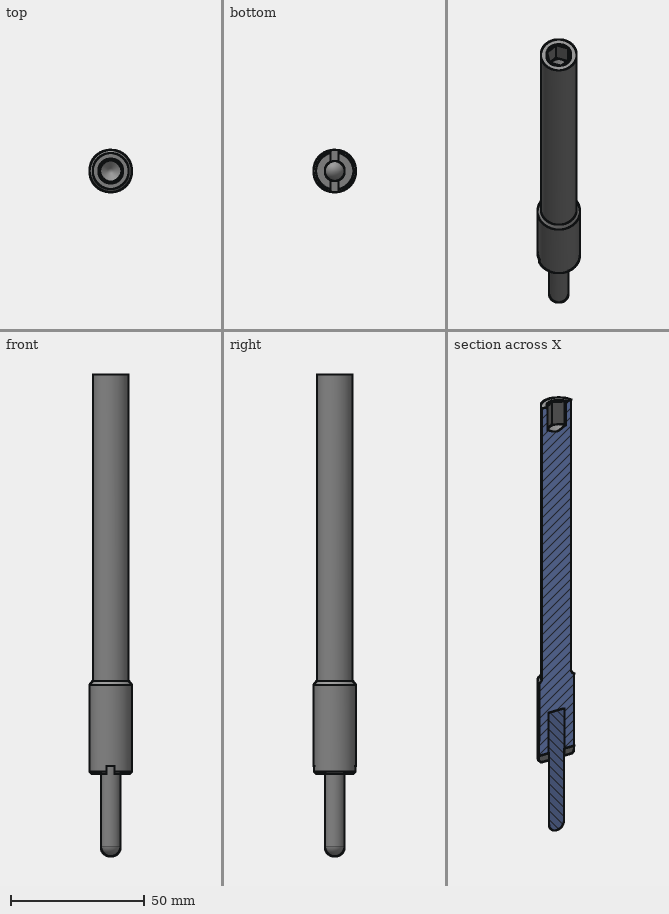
import cadquery as cq
import math

pin_exposed_length = 31.0
collar_length = 35.0
shank_length = 115.0
collar_bottom_z = pin_exposed_length
shank_bottom_z = collar_bottom_z + collar_length
handle_top_z = shank_bottom_z + shank_length

collar_radius = 8.0
shank_radius = 6.75
collar_top_chamfer_height = 1.5
collar_bottom_chamfer = 1.0

socket_across_flats = 8.0
socket_depth = 10.0
socket_corner_radius = socket_across_flats / math.sqrt(3)
mouth_radius = 4.65
mouth_depth = 0.5
drill_radius = socket_across_flats / 2
drill_point_angle = 118.0

slot_width = 3.0
slot_depth = 3.0

pin_radius = 3.75
pin_seat_depth = 20.0


def make_handle_body():
    """Revolved outline of the shank and its chamfered collar."""
    outline = (
        cq.Workplane("XZ")
        .moveTo(0, collar_bottom_z)
        .lineTo(collar_radius - collar_bottom_chamfer, collar_bottom_z)
        .lineTo(collar_radius, collar_bottom_z + collar_bottom_chamfer)
        .lineTo(collar_radius, shank_bottom_z - collar_top_chamfer_height)
        .lineTo(shank_radius, shank_bottom_z)
        .lineTo(shank_radius, handle_top_z)
        .lineTo(0, handle_top_z)
        .close()
    )
    return outline.revolve(360, (0, 0), (0, 1))


def make_socket():
    """Cutter for the hexagon socket, with two corners on the X axis."""
    floor_z = handle_top_z - socket_depth
    hexagon = (
        cq.Workplane("XY", origin=(0, 0, floor_z))
        .polygon(6, 2 * socket_corner_radius)
        .extrude(socket_depth)
    )
    drill_point_height = drill_radius / math.tan(math.radians(drill_point_angle / 2))
    drill_point = cq.Workplane(
        cq.Solid.makeCone(drill_radius, 0, drill_point_height, cq.Vector(0, 0, floor_z), cq.Vector(0, 0, -1))
    )
    mouth = (
        cq.Workplane("XY", origin=(0, 0, handle_top_z - mouth_depth))
        .circle(mouth_radius)
        .extrude(mouth_depth)
    )
    return hexagon.union(drill_point).union(mouth)


def make_slot():
    """Cutter for the slot through both sides of the collar."""
    return (
        cq.Workplane("XY", origin=(0, 0, collar_bottom_z))
        .rect(slot_width, 2 * collar_radius)
        .extrude(slot_depth)
    )


def make_pin_seat():
    """Cutter for the hole that holds the pin."""
    return (
        cq.Workplane("XY", origin=(0, 0, collar_bottom_z))
        .circle(pin_radius)
        .extrude(pin_seat_depth)
    )


def make_handle():
    return make_handle_body().cut(make_socket()).cut(make_slot()).cut(make_pin_seat())


def make_pin():
    """Revolved outline of the pin, rounded at the tip."""
    pin_top_z = collar_bottom_z + pin_seat_depth
    tip_mid_offset = pin_radius * math.sin(math.radians(45))
    outline = (
        cq.Workplane("XZ")
        .moveTo(0, 0)
        .threePointArc((tip_mid_offset, pin_radius - tip_mid_offset), (pin_radius, pin_radius))
        .lineTo(pin_radius, pin_top_z)
        .lineTo(0, pin_top_z)
        .close()
    )
    return outline.revolve(360, (0, 0), (0, 1))


handle = make_handle()
pin = make_pin()

result = cq.Compound.makeCompound([handle.val(), pin.val()])